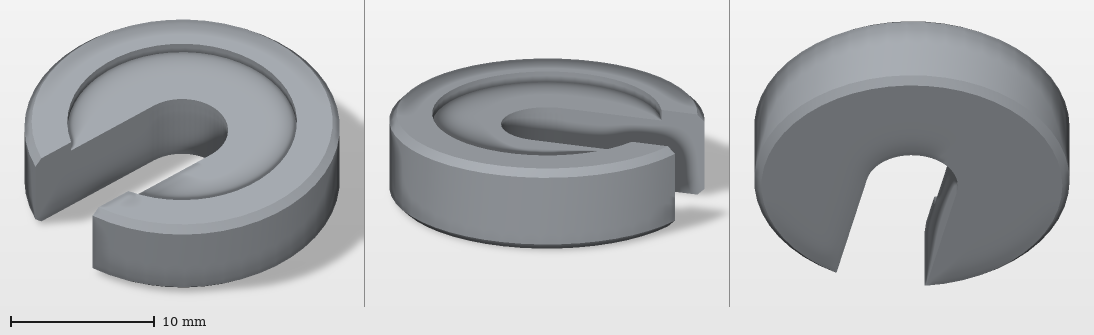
import cadquery as cq

outer_diameter = 21.95
thickness = 6.0
edge_chamfer = 0.5
recess_diameter = 15.99
recess_depth = 0.8
slot_width = 6.4


def chamfered_disc():
    disc = cq.Workplane("XY").circle(outer_diameter / 2).extrude(thickness)
    return disc.faces("<Z or >Z").edges().chamfer(edge_chamfer)


def top_recess():
    floor = cq.Workplane("XY").workplane(offset=thickness - recess_depth)
    return floor.circle(recess_diameter / 2).extrude(recess_depth)


def open_slot():
    """Through slot with a round end on the disc axis, open toward -Y."""
    slot_length = outer_diameter / 2
    round_end = cq.Workplane("XY").circle(slot_width / 2).extrude(thickness)
    straight = (
        cq.Workplane("XY")
        .center(0, -slot_length / 2)
        .rect(slot_width, slot_length)
        .extrude(thickness)
    )
    return round_end.union(straight)


result = chamfered_disc().cut(top_recess()).cut(open_slot())